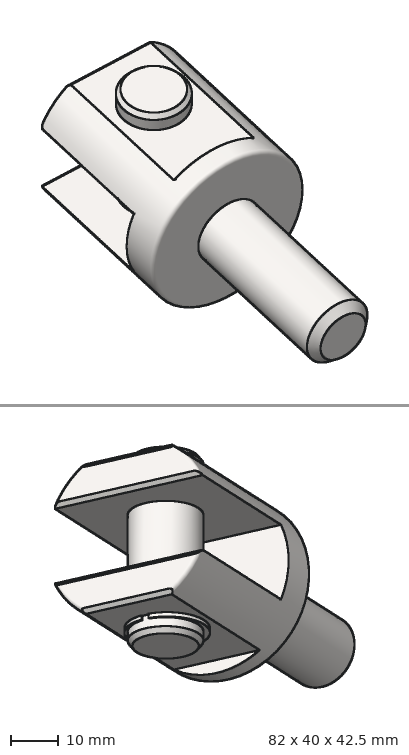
import cadquery as cq

total_length = 82.0
head_diameter = 40.0
shank_diameter = 16.0
shank_chamfer = 2.05

head_length = 42.1
slot_depth = 33.0
slot_width = 17.0
flat_length = 36.9
flat_spacing = 34.0
rim_fillet = 1.0
tip_chamfer = 1.0

pin_diameter = 16.0
pin_length = 42.5
pin_x = 16.0
pin_chamfer_height = 1.2
pin_chamfer_inset = 1.0

ring_diameter = 18.0
ring_offset = 0.65
ring_thickness = 1.0
ring_gap = 1.7


def make_head():
    """Round head with rounded rims, cut to two flat arms with chamfered tips."""
    round_head = cq.Workplane("YZ").circle(head_diameter / 2).extrude(head_length)
    round_head = round_head.edges().fillet(rim_fillet)

    slot = cq.Workplane("XY").box(
        slot_depth, head_diameter, slot_width, centered=(False, True, True)
    )
    fork = (
        cq.Workplane("XY")
        .box(flat_length, head_diameter, flat_spacing, centered=(False, True, True))
        .cut(slot)
        .faces("<X")
        .edges("|Y")
        .chamfer(tip_chamfer)
    )
    collar = cq.Workplane("XY", origin=(flat_length, 0, 0)).box(
        head_length - flat_length, head_diameter, head_diameter, centered=(False, True, True)
    )
    return round_head.intersect(fork.union(collar))


def make_shank():
    """Plain shank with a chamfered free end."""
    shank = (
        cq.Workplane("YZ")
        .workplane(offset=head_length)
        .circle(shank_diameter / 2)
        .extrude(total_length - head_length)
    )
    return shank.faces(">X").chamfer(shank_chamfer)


def make_pin():
    """Cross pin through both arms, chamfered at both ends."""
    radius = pin_diameter / 2
    end_radius = radius - pin_chamfer_inset
    half_length = pin_length / 2
    shoulder_z = half_length - pin_chamfer_height
    return (
        cq.Workplane("XZ", origin=(pin_x, 0, 0))
        .moveTo(0, -half_length)
        .lineTo(end_radius, -half_length)
        .lineTo(radius, -shoulder_z)
        .lineTo(radius, shoulder_z)
        .lineTo(end_radius, half_length)
        .lineTo(0, half_length)
        .close()
        .revolve(360, (0, 0, 0), (0, 1, 0))
    )


def make_retaining_ring():
    """Eccentric ring against the lower flat, open toward the fork tips."""
    ring_bottom = -flat_spacing / 2 - ring_thickness
    ring = (
        cq.Workplane("XY", origin=(pin_x + ring_offset, 0, ring_bottom))
        .circle(ring_diameter / 2)
        .extrude(ring_thickness)
    )
    gap = cq.Workplane("XY", origin=(pin_x - ring_diameter, 0, ring_bottom)).box(
        ring_diameter, ring_gap, ring_thickness, centered=(False, True, False)
    )
    return ring.cut(gap)


result = make_head().union(make_shank()).union(make_pin()).union(make_retaining_ring())